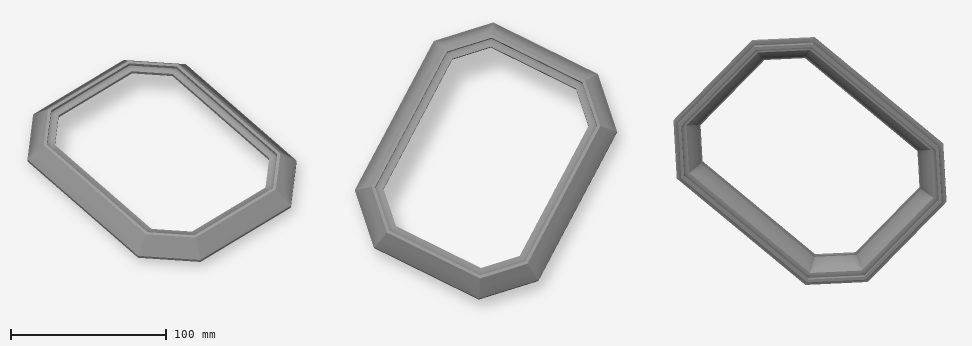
import cadquery as cq
import math

length = 168.0
width = 132.2
height = 14.8
corner_leg = 28.4

spigot_height = 3.0
bevel_height = 10.0
spigot_inset = 3.0
bevel_inset = bevel_height
bevel_base = height - bevel_height

rim_width = 2.0
ledge_depth = 2.0
ledge_thickness = 2.0
opening_inset = 17.0
recess_inset = bevel_inset + rim_width
ledge_top = height - ledge_depth
ledge_bottom = ledge_top - ledge_thickness

spigot_wall = 2.0
spigot_bore_inset = spigot_inset + spigot_wall
slope_top_inset = 16.0
slope_base_inset = slope_top_inset - (ledge_bottom - spigot_height)

leg_shrink = 2 - math.sqrt(2)


def octagon_points(inset):
    """Corners of the outline moved inward by the same distance on all eight sides."""
    x = length / 2 - inset
    y = width / 2 - inset
    leg = corner_leg - inset * leg_shrink
    return [
        (x, leg - y), (x, y - leg), (x - leg, y), (leg - x, y),
        (-x, y - leg), (-x, leg - y), (leg - x, -y), (x - leg, -y),
    ]


def octagon_wire(inset, z):
    return cq.Workplane("XY").workplane(offset=z).polyline(octagon_points(inset)).close()


def octagon_prism(inset, bottom, top):
    """Solid with vertical sides."""
    return octagon_wire(inset, bottom).extrude(top - bottom)


def octagon_frustum(bottom_inset, bottom, top_inset, top):
    """Solid whose flat sides lean from the bottom outline to the top outline."""
    lower = octagon_wire(bottom_inset, bottom)
    upper = lower.workplane(offset=top - bottom).polyline(octagon_points(top_inset)).close()
    return upper.loft(ruled=True, combine=True)


def outer_body():
    spigot = octagon_prism(spigot_inset, 0, spigot_height)
    band = octagon_prism(0, spigot_height, bevel_base)
    bevel = octagon_frustum(0, bevel_base, bevel_inset, height)
    return spigot.union(band).union(bevel)


def underside_cavity():
    bore = octagon_prism(spigot_bore_inset, 0, spigot_height)
    slope = octagon_frustum(slope_base_inset, spigot_height, slope_top_inset, ledge_bottom)
    return bore.union(slope)


opening = octagon_prism(opening_inset, 0, height)
recess = octagon_prism(recess_inset, ledge_top, height)

result = outer_body().cut(opening).cut(recess).cut(underside_cavity())